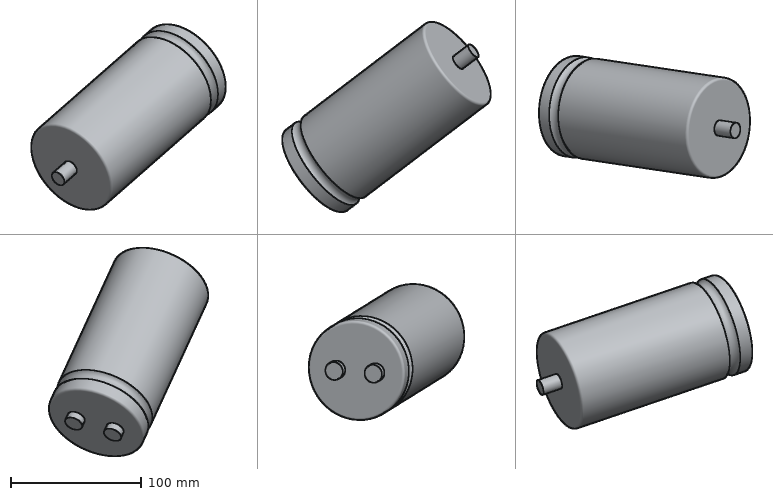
import cadquery as cq

total_length = 170.0
can_diameter = 78.0
edge_radius = 2.0

stud_diameter = 12.0
stud_length = 16.0

terminal_diameter = 14.1
terminal_height = 6.0
terminal_spacing = 31.8

groove_width = 9.0
groove_depth = 2.4
groove_setback = 15.8

can_radius = can_diameter / 2
can_length = total_length - stud_length - terminal_height
groove_center = can_length - groove_setback


def axial_cylinder(diameter, start, length, x=0.0):
    """Cylinder running towards +Y from y = start."""
    base = cq.Workplane("XZ", origin=(x, start, 0))
    return base.circle(diameter / 2).extrude(-length)


def make_can():
    """Revolved can with rounded rims and an arc-shaped groove; its stud face is at y = 0."""
    profile = (
        cq.Workplane("XY")
        .lineTo(can_radius, 0)
        .lineTo(can_radius, groove_center - groove_width / 2)
        .threePointArc(
            (can_radius - groove_depth, groove_center),
            (can_radius, groove_center + groove_width / 2),
        )
        .lineTo(can_radius, can_length)
        .lineTo(0, can_length)
        .close()
    )
    can = profile.revolve(360, (0, 0, 0), (0, 1, 0))
    return can.faces("<Y or >Y").edges().fillet(edge_radius)


result = make_can().union(axial_cylinder(stud_diameter, -stud_length, stud_length))

for side in (-1, 1):
    terminal_x = side * terminal_spacing / 2
    terminal = axial_cylinder(terminal_diameter, can_length, terminal_height, terminal_x)
    result = result.union(terminal)